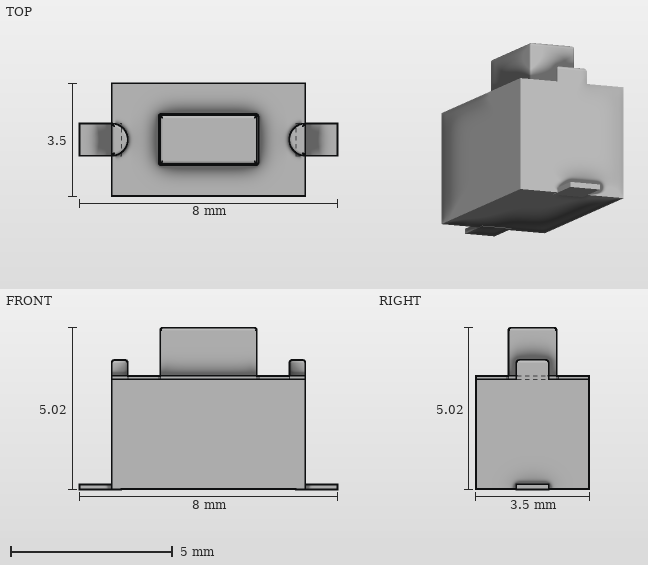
import cadquery as cq

overall_length = 8.0
overall_height = 5.02
case_length = 6.0
case_width = 3.5

pin_width = 1.0
pin_thickness = 0.16
pin_drop = 0.02
pin_reach_under_case = 0.3
pin_length = (overall_length - case_length) / 2 + pin_reach_under_case

cover_top = 3.5
cover_thickness = 0.1
cover_bottom = cover_top - cover_thickness
button_top = overall_height - pin_drop

button_length = 3.0
button_width = button_length / 2
button_top_round = 0.1
button_corner_round = 0.05

opening_clearance = 0.05
opening_corner_round = button_corner_round + opening_clearance

post_radius = pin_width / 2
post_height = 0.5
post_top_round = 0.1

END_SIDES = (-1, 1)


def block(length, width, bottom, top):
    """Box centred on the Z axis between two heights."""
    return (
        cq.Workplane("XY")
        .workplane(offset=bottom)
        .rect(length, width)
        .extrude(top - bottom)
    )


def make_button():
    """Button with rounded top rim and lightly rounded upright corners."""
    rounded_top = (
        block(button_length, button_width, cover_bottom, button_top)
        .faces(">Z")
        .edges()
        .fillet(button_top_round)
    )
    rounded_corners = (
        block(button_length, button_width, cover_bottom, button_top)
        .edges("|Z")
        .fillet(button_corner_round)
    )
    return rounded_top.intersect(rounded_corners)


def make_post(side):
    """Half-round post whose flat face lies in the case end on the given side."""
    end_x = side * case_length / 2
    return (
        cq.Workplane("XY")
        .workplane(offset=cover_bottom)
        .moveTo(end_x, -post_radius)
        .threePointArc((end_x - side * post_radius, 0), (end_x, post_radius))
        .close()
        .extrude(cover_thickness + post_height)
        .faces(">Z")
        .edges()
        .fillet(post_top_round)
    )


def make_pin(side):
    """Flat solder tab that starts under the case and runs out past its end."""
    centre_x = side * (overall_length - pin_length) / 2
    return block(pin_length, pin_width, -pin_drop, pin_thickness - pin_drop).translate((centre_x, 0, 0))


def make_housing():
    """Case with its button, guide posts and solder pins, all one solid."""
    body = block(case_length, case_width, 0, cover_bottom)
    body = body.union(make_button())
    for side in END_SIDES:
        body = body.union(make_post(side))
        body = body.union(make_pin(side))
    return body


def make_cover():
    """Thin plate on the case with a button opening and notches for the posts."""
    opening = (
        block(
            button_length + 2 * opening_clearance,
            button_width + 2 * opening_clearance,
            cover_bottom,
            cover_top,
        )
        .edges("|Z")
        .fillet(opening_corner_round)
    )
    plate = block(case_length, case_width, cover_bottom, cover_top).cut(opening)
    for side in END_SIDES:
        plate = plate.cut(make_post(side))
    return plate


housing = make_housing()
cover = make_cover()

result = cq.Compound.makeCompound([housing.val(), cover.val()])